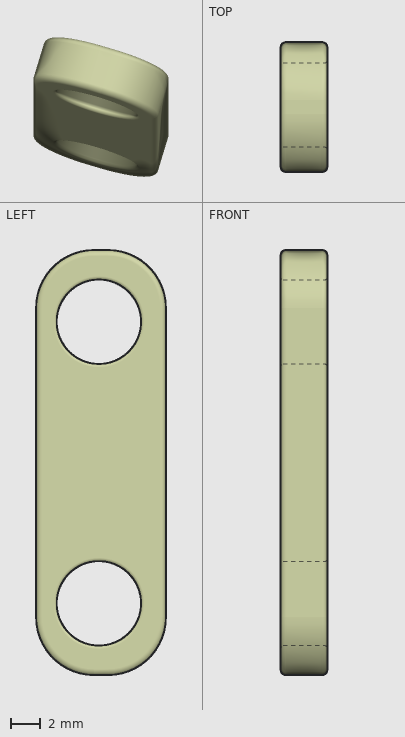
import cadquery as cq

thickness = 3.17
width = 8.75
length = 28.58
corner_radius = 3.92
rim_fillet = 0.4

hole_diameter = 5.65
hole_spacing = 18.92
hole_offset_y = 0.15
hole_edge_fillet = 0.23


def rounded_plate():
    """Plate with rounded corners and softened rims on both faces."""
    plate = cq.Workplane("XY").box(thickness, width, length)
    plate = plate.edges("|X").fillet(corner_radius)
    return plate.faces("<X or >X").edges().fillet(rim_fillet)


def hole_cutter(center_z):
    """Through-hole volume that flares into a rounded edge at both faces."""
    radius = hole_diameter / 2
    mouth_radius = radius + hole_edge_fillet
    half_thickness = thickness / 2
    straight_half = half_thickness - hole_edge_fillet
    arc_inset = hole_edge_fillet * (1 - 0.5**0.5)
    profile = (
        cq.Workplane("XY")
        .moveTo(-half_thickness, 0)
        .lineTo(-half_thickness, mouth_radius)
        .threePointArc((-half_thickness + arc_inset, radius + arc_inset), (-straight_half, radius))
        .lineTo(straight_half, radius)
        .threePointArc((half_thickness - arc_inset, radius + arc_inset), (half_thickness, mouth_radius))
        .lineTo(half_thickness, 0)
        .close()
    )
    cutter = profile.revolve(360, (0, 0, 0), (1, 0, 0))
    return cutter.translate((0, hole_offset_y, center_z))


result = rounded_plate()
for side in (-1, 1):
    result = result.cut(hole_cutter(side * hole_spacing / 2))